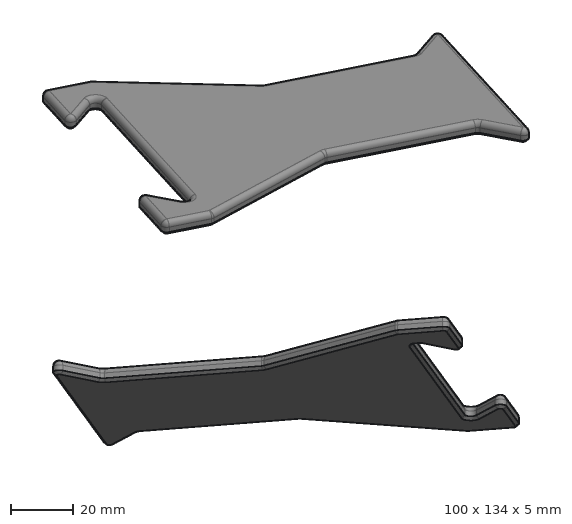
import cadquery as cq

length = 134.0
width = 100.0
thickness = 5.0

neck_half_width = 25.7
tongue_depth = 14.0
tongue_half_width = neck_half_width + tongue_depth

socket_mouth_half_width = 25.9
socket_depth = 15.0
socket_half_width = socket_mouth_half_width + socket_depth

foot_height = 17.3
taper_top = 67.0

corner_radius = 2.0
top_edge_radius = 2.0
bottom_chamfer = 1.1

right_side = [
    (socket_half_width, socket_depth),
    (socket_mouth_half_width, 0),
    (width / 2, 0),
    (width / 2, foot_height),
    (neck_half_width, taper_top),
    (neck_half_width, length - tongue_depth),
    (tongue_half_width, length),
]
left_side = [(-x, y) for x, y in reversed(right_side)]

plate = cq.Workplane("XY").polyline(right_side + left_side).close().extrude(thickness)
plate = plate.edges("|Z").fillet(corner_radius)
plate = plate.faces(">Z").edges().fillet(top_edge_radius)
result = plate.faces("<Z").edges().chamfer(bottom_chamfer)